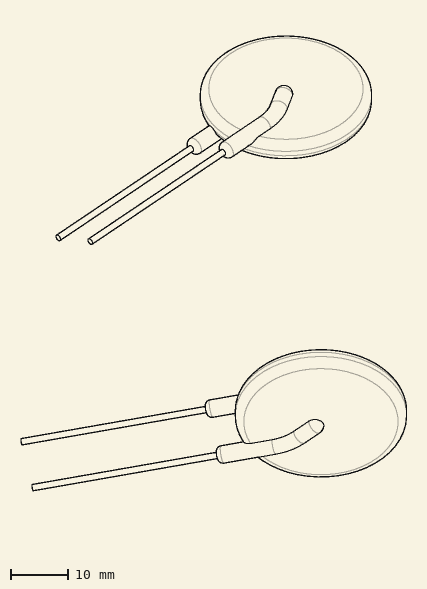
import cadquery as cq
import math

overall_length = 68.0
overall_height = 7.0
disc_diameter = 30.0
disc_radius = disc_diameter / 2
disc_thickness = 4.0
disc_edge_radius = 1.5

sleeve_radius = 1.55
sleeve_end_y = -19.7
sleeve_end_fillet = 0.95
wire_radius = 0.58
wire_end_y = disc_radius - overall_length
lead_spacing = 7.8
lead_x = lead_spacing / 2
lead_z = overall_height / 2 - sleeve_radius

bend_start_y = -9.45
bend_radius = 10.0
bend_angle = 30.0
tip_length = 3.7


def make_disc():
    """Round disc with both rims rounded."""
    return (
        cq.Workplane("XY", origin=(0, 0, -disc_thickness / 2))
        .circle(disc_radius)
        .extrude(disc_thickness)
        .faces("|Z")
        .edges()
        .fillet(disc_edge_radius)
    )


def bend_point(angle):
    """Point on the bend, at an angle in degrees from its start."""
    turn = math.radians(angle)
    return (
        lead_x - bend_radius * (1 - math.cos(turn)),
        bend_start_y + bend_radius * math.sin(turn),
    )


def make_sleeve():
    """Bent sleeve with a rounded outer end and a hemispherical tip."""
    bend_end_x, bend_end_y = bend_point(bend_angle)
    tip_direction = math.radians(bend_angle)
    tip_x = bend_end_x - tip_length * math.sin(tip_direction)
    tip_y = bend_end_y + tip_length * math.cos(tip_direction)

    path = (
        cq.Workplane("XY", origin=(0, 0, lead_z))
        .moveTo(lead_x, sleeve_end_y)
        .lineTo(lead_x, bend_start_y)
        .threePointArc(bend_point(bend_angle / 2), (bend_end_x, bend_end_y))
        .lineTo(tip_x, tip_y)
    )
    sleeve = (
        cq.Workplane("XZ", origin=(lead_x, sleeve_end_y, lead_z))
        .circle(sleeve_radius)
        .sweep(path)
        .faces("<Y")
        .edges()
        .fillet(sleeve_end_fillet)
    )
    tip = cq.Workplane("XY", origin=(tip_x, tip_y, lead_z)).sphere(sleeve_radius)
    return sleeve.union(tip)


def make_upper_lead():
    """Sleeve and its bare wire as one solid."""
    wire = (
        cq.Workplane("XZ", origin=(lead_x, bend_start_y, lead_z))
        .circle(wire_radius)
        .extrude(bend_start_y - wire_end_y)
    )
    return make_sleeve().union(wire)


leads = [
    make_upper_lead().rotate((0, 0, 0), (0, 1, 0), turn)
    for turn in (0, 180)
]

disc = make_disc()
for lead in leads:
    disc = disc.cut(lead)

result = cq.Compound.makeCompound([disc.solids().val(), *[lead.solids().val() for lead in leads]])